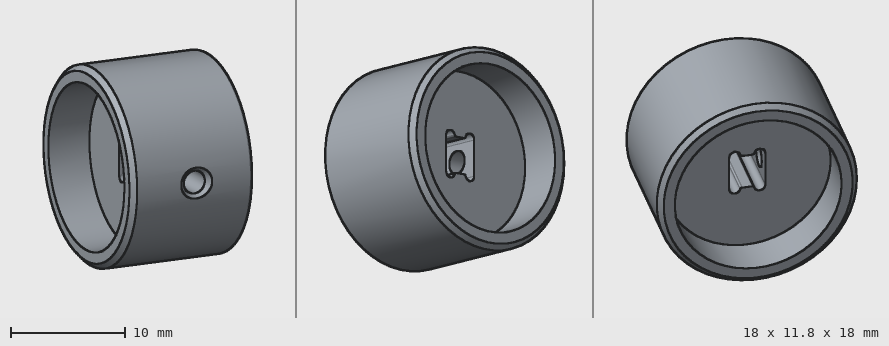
import cadquery as cq
import math

outer_diameter = 18.0
length = 11.79
front_chamfer = 0.5
back_fillet = 0.25

recess_diameter = 15.0
recess_depth = 4.0

socket_side = 3.24
lobe_radius = 0.5
lip_radius = 0.18
socket_end_depth = 10.0

screw_diameter = 2.05
screw_mouth_diameter = 2.79
screw_distance = 6.3
screw_clearance = 0.36

outer_radius = outer_diameter / 2
front_y = -length / 2
half_side = socket_side / 2


def make_body():
    body = cq.Workplane("XZ", origin=(0, -front_y, 0)).circle(outer_radius).extrude(length)
    body = body.faces("<Y").chamfer(front_chamfer)
    return body.faces(">Y").fillet(back_fillet)


def make_recess():
    recess = cq.Workplane("XZ", origin=(0, front_y, 0)).circle(recess_diameter / 2)
    return recess.extrude(-recess_depth)


def make_socket():
    lobe_x = half_side - lobe_radius
    lip_x = lobe_x - math.sqrt((lobe_radius + lip_radius) ** 2 - lip_radius**2)
    blend = lobe_radius / (lobe_radius + lip_radius)
    touch_x = lobe_x + (lip_x - lobe_x) * blend
    touch_z = half_side + lip_radius * blend
    lip_angle = math.atan2(lip_radius, lobe_x - lip_x)
    mid_angle = (-lip_angle - math.pi / 2) / 2
    mid_x = lip_x + lip_radius * math.cos(mid_angle)
    mid_z = half_side + lip_radius + lip_radius * math.sin(mid_angle)
    lobe_top = half_side + lobe_radius

    socket = (
        cq.Workplane("XZ", origin=(0, front_y, 0))
        .moveTo(0, half_side)
        .lineTo(lip_x, half_side)
        .threePointArc((mid_x, mid_z), (touch_x, touch_z))
        .threePointArc((lobe_x, lobe_top), (half_side, half_side))
        .lineTo(half_side, 0)
        .mirrorX()
        .mirrorY()
    )
    return socket.extrude(-socket_end_depth)


def make_screw_hole():
    mouth_radius = screw_mouth_diameter / 2
    screw_radius = screw_diameter / 2
    mouth_x = math.sqrt(outer_radius**2 - mouth_radius**2)
    cone_height = mouth_radius - screw_radius
    past_surface = screw_clearance + outer_radius - mouth_x
    profile = [
        (0, 0),
        (0, screw_radius),
        (mouth_x - cone_height, screw_radius),
        (mouth_x, mouth_radius),
        (mouth_x + past_surface, mouth_radius + past_surface),
        (mouth_x + past_surface, 0),
    ]
    hole = cq.Workplane("XY").polyline(profile).close().revolve(360, (0, 0, 0), (1, 0, 0))
    return hole.translate((0, front_y + screw_distance, 0))


result = make_body().cut(make_recess()).cut(make_socket()).cut(make_screw_hole())